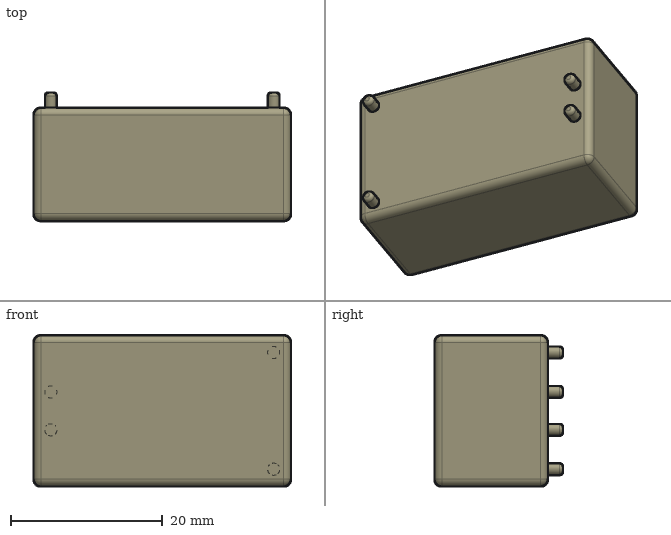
import cadquery as cq

length = 34.0
depth = 15.0
height = 20.0
edge_radius = 1.0

pin_diameter = 1.6
pin_length = 2.0
pin_tip_radius = 0.5
pin_column_spacing = 29.4
narrow_pair_spacing = 5.0
wide_pair_spacing = 15.4


def make_block():
    """Block centred on the origin, with every edge rounded."""
    return cq.Workplane("XY").box(length, depth, height).edges().fillet(edge_radius)


def make_pin(x, z):
    """Round-tipped pin pointing along +Y, with its root sunk into the block."""
    root_depth = edge_radius
    pin = (
        cq.Workplane("XZ", origin=(x, depth / 2 - root_depth, z))
        .circle(pin_diameter / 2)
        .extrude(-(root_depth + pin_length))
    )
    return pin.faces(">Y").edges().fillet(pin_tip_radius)


def add_pin_pair(body, x, spacing):
    """Add two pins at the same X, placed evenly above and below the middle."""
    for side in (-1, 1):
        body = body.union(make_pin(x, side * spacing / 2))
    return body


result = make_block()
result = add_pin_pair(result, -pin_column_spacing / 2, narrow_pair_spacing)
result = add_pin_pair(result, pin_column_spacing / 2, wide_pair_spacing)